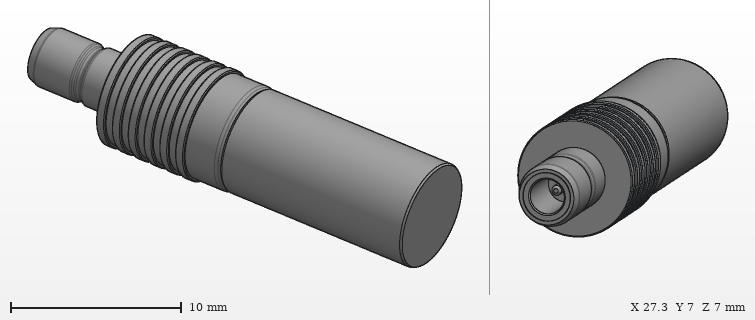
import cadquery as cq

total_length = 27.25
shoulder_x = 6.0
body_end_x = 14.52

nose_radius = 1.85
nose_tip_radius = 1.65
nose_taper_length = 0.55
nose_blend_radius = 0.2
nose_groove_center = 3.5
nose_groove_top_width = 0.75
nose_groove_floor_width = 0.33
nose_groove_depth = 0.15

recess_radius = 1.45
recess_depth = 0.08
bore_radius = 1.04
bore_end_x = 4.0
bore_chamfer = 0.08
pin_radius = 0.3
pin_tip_radius = 0.14
pin_tip_length = 0.15
pin_start_x = 2.0

body_radius = 3.32
ring_diameter = 7.0
ring_radius = ring_diameter / 2
ring_count = 6
ring_width = 0.6
rings_length = 6.13
ring_pitch = (rings_length - ring_width) / (ring_count - 1)
ring_chamfer = 0.068
body_taper_length = 0.25
body_blend_radius = 0.44

barrel_radius = 3.27
barrel_chamfer_length = 0.14
barrel_chamfer_height = 0.08
barrel_end_radius = barrel_radius - barrel_chamfer_height


def revolve_about_x(profile):
    """Turn a closed (x, radius) profile about the X axis."""
    return profile.revolve(360, (0, 0, 0), (1, 0, 0))


def cylinder(start_x, end_x, radius):
    """Solid cylinder on the X axis between two x positions."""
    return cq.Workplane("YZ", origin=(start_x, 0, 0)).circle(radius).extrude(end_x - start_x)


def edges_at(solid, x, radius):
    """Circular edges of the solid lying at the given x and radius."""
    margin = 0.003
    reach = radius + margin
    box = cq.selectors.BoxSelector(
        (x - margin, -reach, -reach),
        (x + margin, reach, reach),
        boundingbox=True,
    )
    return solid.edges(box)


def make_nose():
    """Tapered nose with a snap groove; its outline corners are rounded."""
    half_top = nose_groove_top_width / 2
    half_floor = nose_groove_floor_width / 2
    floor_radius = nose_radius - nose_groove_depth
    corners = [
        (nose_taper_length, nose_radius),
        (nose_groove_center - half_top, nose_radius),
        (nose_groove_center - half_floor, floor_radius),
        (nose_groove_center + half_floor, floor_radius),
        (nose_groove_center + half_top, nose_radius),
    ]
    profile = (
        cq.Workplane("XY")
        .moveTo(0, 0)
        .lineTo(0, nose_tip_radius)
        .polyline(corners, includeCurrent=True)
        .lineTo(shoulder_x, nose_radius)
        .lineTo(shoulder_x, 0)
        .close()
    )
    nose = revolve_about_x(profile)
    for x, radius in corners:
        nose = edges_at(nose, x, radius).fillet(nose_blend_radius)
    return nose


def make_body():
    """Gripping body with raised rings, tapering down to the notch at the barrel."""
    taper_start_x = body_end_x - body_taper_length
    profile = (
        cq.Workplane("XY")
        .moveTo(shoulder_x, 0)
        .lineTo(shoulder_x, body_radius)
        .lineTo(taper_start_x, body_radius)
        .lineTo(body_end_x, barrel_end_radius)
        .lineTo(body_end_x, 0)
        .close()
    )
    body = edges_at(revolve_about_x(profile), taper_start_x, body_radius).fillet(body_blend_radius)
    for index in range(ring_count):
        ring_x = shoulder_x + index * ring_pitch
        ring = cylinder(ring_x, ring_x + ring_width, ring_radius).faces("<X or >X").edges().chamfer(ring_chamfer)
        body = body.union(ring)
    return body


def make_barrel():
    """Plain barrel chamfered at both ends."""
    profile = (
        cq.Workplane("XY")
        .moveTo(body_end_x, 0)
        .lineTo(body_end_x, barrel_end_radius)
        .lineTo(body_end_x + barrel_chamfer_length, barrel_radius)
        .lineTo(total_length - barrel_chamfer_length, barrel_radius)
        .lineTo(total_length, barrel_end_radius)
        .lineTo(total_length, 0)
        .close()
    )
    return revolve_about_x(profile)


def make_socket():
    """Space removed from the nose: shallow recess plus chamfered bore."""
    profile = (
        cq.Workplane("XY")
        .moveTo(0, 0)
        .lineTo(0, recess_radius)
        .lineTo(recess_depth, recess_radius)
        .lineTo(recess_depth, bore_radius + bore_chamfer)
        .lineTo(recess_depth + bore_chamfer, bore_radius)
        .lineTo(bore_end_x, bore_radius)
        .lineTo(bore_end_x, 0)
        .close()
    )
    return revolve_about_x(profile)


def make_pin():
    """Center contact with a coned tip, standing on the bore floor."""
    profile = (
        cq.Workplane("XY")
        .moveTo(pin_start_x, 0)
        .lineTo(pin_start_x, pin_tip_radius)
        .lineTo(pin_start_x + pin_tip_length, pin_radius)
        .lineTo(bore_end_x, pin_radius)
        .lineTo(bore_end_x, 0)
        .close()
    )
    return revolve_about_x(profile)


shell = make_nose().union(make_body()).union(make_barrel())
result = shell.cut(make_socket()).union(make_pin())